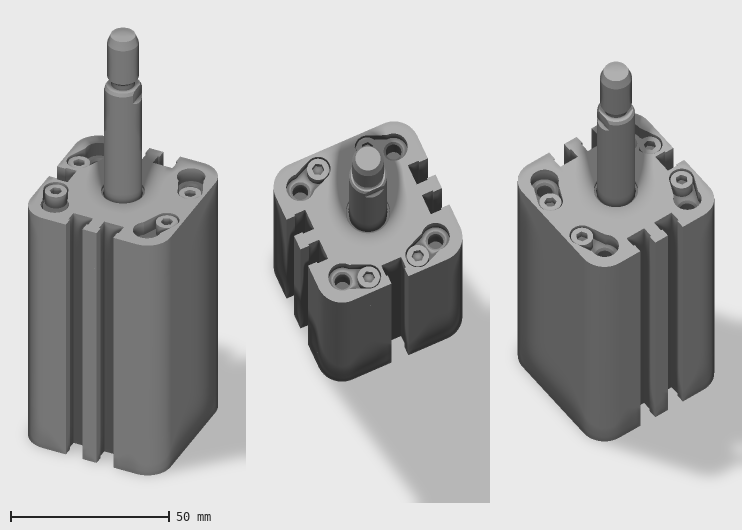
import cadquery as cq
import math


body_width = 49.0
corner_radius = 8.0
total_height = 149.5
body_height = 89.1
cap_height = 14.0
barrel_top = body_height - cap_height

slot_mouth_width = 5.8
slot_inner_width = 6.9
slot_depth = 6.7
slot_lip_depth = 3.0
slot_offset = 5.4

hole_offset = 16.1
screw_x = 19.5
screw_y = 8.5
pocket_hole_diameter = 9.0
pocket_slot_width = 7.9
pocket_depth = 5.0
hole_diameter = 5.0
hole_mouth_diameter = 6.3
screw_head_diameter = 7.0
screw_head_height = 4.3
hex_across_flats = 3.5
hex_depth = 2.5
screw_placements = [(1, 1, 0), (-1, 1, 0), (-1, -1, 15), (1, -1, 30)]

rod_diameter = 12.0
seal_mouth_diameter = 14.0
seal_recess_diameter = 13.8
seal_recess_depth = 1.0
rod_clearance_diameter = 12.5
rod_clearance_depth = 3.0
thread_diameter = 10.0
neck_diameter = 7.5
tip_diameter = 7.9
tip_chamfer_length = 2.8
thread_length = 15.8
shoulder_distance = 19.0
shoulder_chamfer_length = 1.0
shoulder_chamfer_width = 0.6
flat_distance = 23.2
flat_spacing = 10.0


def slot_cutter(height):
    """Slot in the -Y face at X = 0, narrower at its mouth."""
    mouth_y = -body_width / 2
    lip_y = mouth_y + slot_lip_depth
    floor_y = mouth_y + slot_depth
    half_mouth = slot_mouth_width / 2
    half_inner = slot_inner_width / 2
    return (
        cq.Workplane("XY")
        .polyline([
            (-half_mouth, mouth_y),
            (half_mouth, mouth_y),
            (half_mouth, lip_y),
            (half_inner, lip_y),
            (half_inner, floor_y),
            (-half_inner, floor_y),
            (-half_inner, lip_y),
            (-half_mouth, lip_y),
        ])
        .close()
        .extrude(height)
    )


def slotted_block(bottom, height):
    """Rounded square block with two slots in -Y and +Y and one in -X."""
    block = (
        cq.Workplane("XY")
        .rect(body_width, body_width)
        .extrude(height)
        .edges("|Z")
        .fillet(corner_radius)
    )
    slot = slot_cutter(height)
    for x in (-slot_offset, slot_offset):
        front_slot = slot.translate((x, 0, 0))
        block = block.cut(front_slot).cut(front_slot.mirror("XZ"))
    block = block.cut(slot.rotate((0, 0, 0), (0, 0, 1), -90))
    return block.translate((0, 0, bottom))


def keyhole_pocket():
    """Pocket in the +X +Y corner: a slot from hole to screw, widened by a circle at the hole."""
    step_x = screw_x - hole_offset
    step_y = screw_y - hole_offset
    slot_length = math.hypot(step_x, step_y) + pocket_slot_width
    slot_angle = math.degrees(math.atan2(step_y, step_x))
    slot_center = ((hole_offset + screw_x) / 2, (hole_offset + screw_y) / 2)
    floor = cq.Workplane("XY", origin=(0, 0, body_height - pocket_depth))
    slot = floor.center(*slot_center).slot2D(slot_length, pocket_slot_width, slot_angle).extrude(pocket_depth)
    round_end = floor.center(hole_offset, hole_offset).circle(pocket_hole_diameter / 2).extrude(pocket_depth)
    return slot.union(round_end)


def mounting_hole():
    """Hole from the pocket floor through the front cap, with a 45 degree mouth."""
    floor_z = body_height - pocket_depth
    mouth_radius = hole_mouth_diameter / 2
    hole_radius = hole_diameter / 2
    return (
        cq.Workplane("XZ")
        .polyline([
            (0, barrel_top),
            (hole_radius, barrel_top),
            (hole_radius, floor_z - (mouth_radius - hole_radius)),
            (mouth_radius, floor_z),
            (0, floor_z),
        ])
        .close()
        .revolve(360, (0, 0, 0), (0, 1, 0))
        .translate((hole_offset, hole_offset, 0))
    )


def screw_head(side_x, side_y, hex_turn):
    """Socket head standing on the pocket floor in the chosen corner."""
    hex_across_corners = hex_across_flats / math.cos(math.pi / 6)
    return (
        cq.Workplane("XY")
        .circle(screw_head_diameter / 2)
        .extrude(screw_head_height)
        .faces(">Z")
        .workplane()
        .polygon(6, hex_across_corners)
        .cutBlind(-hex_depth)
        .rotate((0, 0, 0), (0, 0, 1), hex_turn)
        .translate((side_x * screw_x, side_y * screw_y, body_height - pocket_depth))
    )


def in_four_corners(shape):
    """The +X +Y corner shape and its three mirror images."""
    pair = [shape, shape.mirror("YZ")]
    return pair + [half.mirror("XZ") for half in pair]


def rod_bore():
    """Bore fitting the rod, opening into a clearance ring and a seal recess at the top."""
    bore_radius = rod_diameter / 2
    clearance_radius = rod_clearance_diameter / 2
    recess_radius = seal_recess_diameter / 2
    mouth_radius = seal_mouth_diameter / 2
    clearance_z = body_height - rod_clearance_depth
    recess_z = body_height - seal_recess_depth
    return (
        cq.Workplane("XZ")
        .polyline([
            (0, barrel_top),
            (bore_radius, barrel_top),
            (bore_radius, clearance_z),
            (clearance_radius, clearance_z),
            (clearance_radius, recess_z),
            (recess_radius, recess_z),
            (recess_radius, body_height - (mouth_radius - recess_radius)),
            (mouth_radius, body_height),
            (0, body_height),
        ])
        .close()
        .revolve(360, (0, 0, 0), (0, 1, 0))
    )


def make_front_cap():
    cap = slotted_block(barrel_top, cap_height)
    for cutter in in_four_corners(keyhole_pocket()) + in_four_corners(mounting_hole()):
        cap = cap.cut(cutter)
    for side_x, side_y, hex_turn in screw_placements:
        cap = cap.union(screw_head(side_x, side_y, hex_turn))
    return cap.cut(rod_bore())


def wrench_flat():
    """Cutter for the +X wrench flat, its lower end sloping out at 45 degrees."""
    flat_x = flat_spacing / 2
    outer_x = rod_diameter / 2
    top_z = total_height - shoulder_distance
    flat_z = total_height - flat_distance
    return (
        cq.Workplane("XZ")
        .polyline([
            (flat_x, top_z),
            (flat_x, flat_z),
            (outer_x, flat_z - (outer_x - flat_x)),
            (outer_x, top_z),
        ])
        .close()
        .extrude(rod_diameter / 2, both=True)
    )


def make_rod():
    rod_radius = rod_diameter / 2
    neck_radius = neck_diameter / 2
    thread_radius = thread_diameter / 2
    thread_end_z = total_height - thread_length
    shoulder_z = total_height - shoulder_distance
    rod = (
        cq.Workplane("XZ")
        .polyline([
            (0, barrel_top),
            (rod_radius, barrel_top),
            (rod_radius, shoulder_z - shoulder_chamfer_length),
            (rod_radius - shoulder_chamfer_width, shoulder_z),
            (neck_radius, shoulder_z),
            (neck_radius, thread_end_z - (thread_radius - neck_radius)),
            (thread_radius, thread_end_z),
            (thread_radius, total_height - tip_chamfer_length),
            (tip_diameter / 2, total_height),
            (0, total_height),
        ])
        .close()
        .revolve(360, (0, 0, 0), (0, 1, 0))
    )
    flat = wrench_flat()
    return rod.cut(flat).cut(flat.mirror("YZ"))


rear_cap = slotted_block(0, cap_height)
barrel = slotted_block(cap_height, barrel_top - cap_height)
front_cap = make_front_cap()
rod = make_rod()

result = cq.Compound.makeCompound([rear_cap.val(), barrel.val(), front_cap.val(), rod.val()])